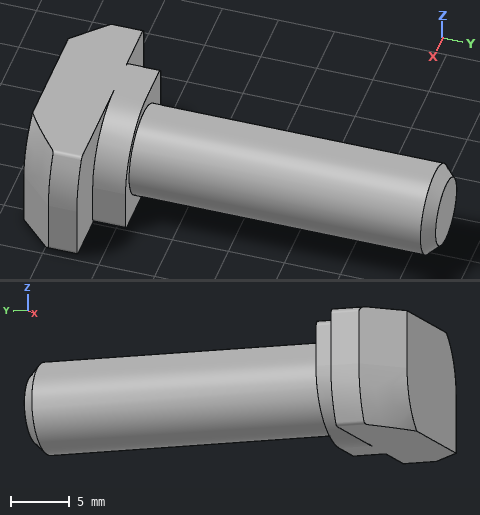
import cadquery as cq
import math

total_length = 35.7
head_width = 19.0
head_height = 10.0
head_thickness = 5.75
head_bevel = 3.2
neck_end = 8.68
neck_arc_radius = 6.0
shank_radius = 4.0
tip_radius = 3.0
tip_length = 1.05
edge_fillet = 0.5

head_radius = head_width / 2
half_height = head_height / 2
face_radius = head_radius - head_bevel
arc_end = math.sqrt(head_radius**2 - half_height**2)


def prism(outline, start, end):
    """Extrude a closed XZ outline along +Y from start to end."""
    return outline.extrude(start - end).translate((0, start, 0))


def cylinder(radius, start, end):
    return prism(cq.Workplane("XZ").circle(radius), start, end)


def swing_envelope():
    """Bevelled bounds: a cone for the swing arcs, flat wedges at the two square corners."""
    profile = [
        (0, 0),
        (face_radius, 0),
        (head_radius, head_bevel),
        (head_radius, head_thickness),
        (0, head_thickness),
    ]
    cone = cq.Workplane("XY").polyline(profile).close().revolve(360, (0, 0), (0, 1))
    lower_right = cq.Workplane("XY").polyline(profile).close().extrude(-half_height)
    upper_left = lower_right.rotate((0, 0, 0), (0, 1, 0), 180)
    return cone.union(lower_right).union(upper_left)


def make_head():
    """Quarter-turn head: two square corners and two corners rounded about the axis."""
    half_swing = math.asin(half_height / head_radius) / 2
    mid_x = head_radius * math.cos(half_swing)
    mid_z = head_radius * math.sin(half_swing)
    outline = (
        cq.Workplane("XZ")
        .moveTo(-head_radius, half_height)
        .lineTo(arc_end, half_height)
        .threePointArc((mid_x, mid_z), (head_radius, 0))
        .lineTo(head_radius, -half_height)
        .lineTo(-arc_end, -half_height)
        .threePointArc((-mid_x, -mid_z), (-head_radius, 0))
        .close()
    )
    blank = prism(outline, 0, head_thickness)
    corners = blank.edges("|Y").edges(">Z or <Z").fillet(edge_fillet)
    return corners.intersect(swing_envelope())


def make_neck():
    """Square neck with two opposite corners rounded by large arcs, the others by small fillets."""
    blank = cq.Workplane("XY").box(head_height, neck_end - head_thickness, head_height)
    blank = blank.translate((0, (head_thickness + neck_end) / 2, 0))

    def near(x_sign, z_sign):
        low = (min(0, x_sign) * head_height, 0, min(0, z_sign) * head_height)
        high = (max(0, x_sign) * head_height, neck_end, max(0, z_sign) * head_height)
        return cq.selectors.BoxSelector(low, high)

    for sign in (1, -1):
        blank = blank.edges("|Y").edges(near(-sign, sign)).fillet(edge_fillet)
        blank = blank.edges("|Y").edges(near(sign, sign)).fillet(neck_arc_radius)
    return blank


def make_shank():
    shank = cylinder(shank_radius, head_thickness, total_length)
    return shank.faces(">Y").chamfer(tip_length, shank_radius - tip_radius)


result = make_head().union(make_neck()).union(make_shank())